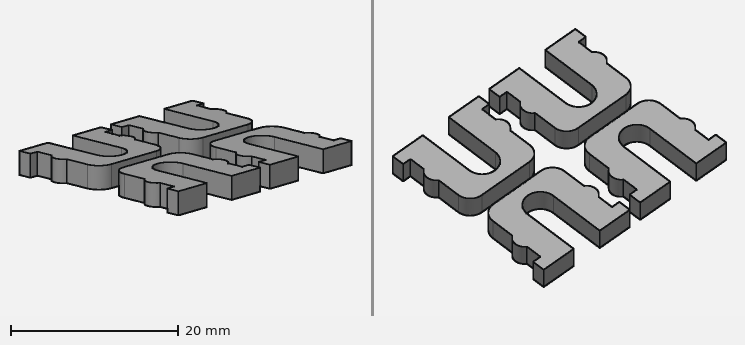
import cadquery as cq

overall_x = 26.03
overall_y = 30.3
thickness = 3.0
column_gap = 2.0
row_pitch = 16.0
clip_length = (overall_x - column_gap) / 2
clip_width = overall_y - row_pitch

foot_length = 1.82
foot_height = 1.2
corner_radius = 2.0
slot_width = 4.3
slot_depth = 10.15
bump_distance = 5.4
bump_chord = 2.5
bump_height = 0.7

body_half_width = clip_width / 2 - foot_height


def box_from_open_end(length, width):
    """Plate starting at the open end (x = 0), centred on the clip's long axis."""
    return cq.Workplane("XY").box(length, width, thickness, centered=(False, True, False))


def make_bump(side):
    """Round-topped detent on one flank; side is +1 or -1 along Y."""
    return (
        cq.Workplane("XY")
        .moveTo(bump_distance - bump_chord / 2, side * body_half_width)
        .threePointArc(
            (bump_distance, side * (body_half_width + bump_height)),
            (bump_distance + bump_chord / 2, side * body_half_width),
        )
        .close()
        .extrude(thickness)
    )


def make_slot():
    """Slot open at x = 0 with a full-round inner end."""
    end_radius = slot_width / 2
    round_center = slot_depth - end_radius
    round_end = cq.Workplane("XY").center(round_center, 0).circle(end_radius).extrude(thickness)
    return box_from_open_end(round_center, slot_width).union(round_end)


def make_clip():
    """U-shaped clip with its open end at x = 0 and its closed end toward +X."""
    body = box_from_open_end(clip_length, 2 * body_half_width)
    body = body.edges("|Z and >X").fillet(corner_radius)
    feet = box_from_open_end(foot_length, clip_width)
    clip = body.union(feet)
    for side in (1, -1):
        clip = clip.union(make_bump(side))
    return clip.cut(make_slot())


clips = []
for row_y in (-row_pitch / 2, row_pitch / 2):
    left_clip = make_clip().translate((-overall_x / 2, row_y, 0))
    right_clip = make_clip().rotate((0, 0, 0), (0, 0, 1), 180).translate((overall_x / 2, row_y, 0))
    clips.append(left_clip.val())
    clips.append(right_clip.val())

result = cq.Compound.makeCompound(clips)